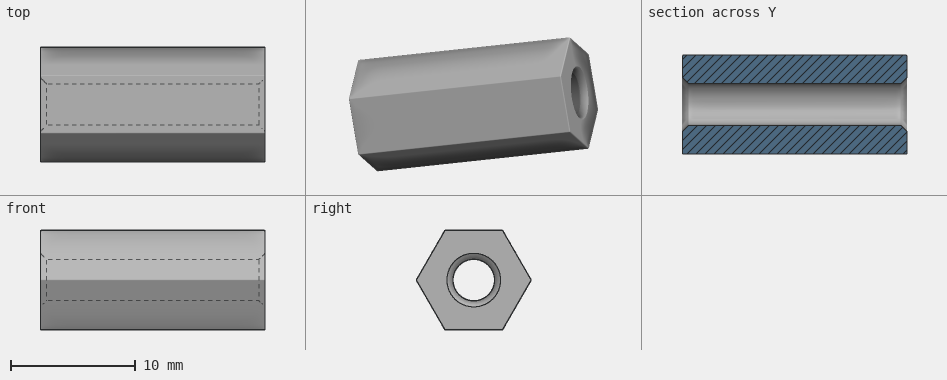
import cadquery as cq
import math

length = 18.0
across_corners = 9.23
edge_radius = 0.09
bore_diameter = 3.31
countersink_diameter = 4.3
countersink_angle = 90.0

bore_radius = bore_diameter / 2
mouth_radius = countersink_diameter / 2
countersink_depth = (mouth_radius - bore_radius) / math.tan(math.radians(countersink_angle / 2))


def hexagonal_body():
    """Hexagonal bar centred on the origin, corners pointing along Y, edges rounded."""
    bar = cq.Workplane("YZ").polygon(6, across_corners).extrude(length / 2, both=True)
    return bar.edges().fillet(edge_radius)


def bore_cutter():
    """Solid of the bore, revolved about X, flaring to a countersink at both ends."""
    end = length / 2
    bore_end = end - countersink_depth
    profile = [
        (-end, 0),
        (-end, mouth_radius),
        (-bore_end, bore_radius),
        (bore_end, bore_radius),
        (end, mouth_radius),
        (end, 0),
    ]
    return cq.Workplane("XY").polyline(profile).close().revolve(360, (0, 0, 0), (1, 0, 0))


result = hexagonal_body().cut(bore_cutter())